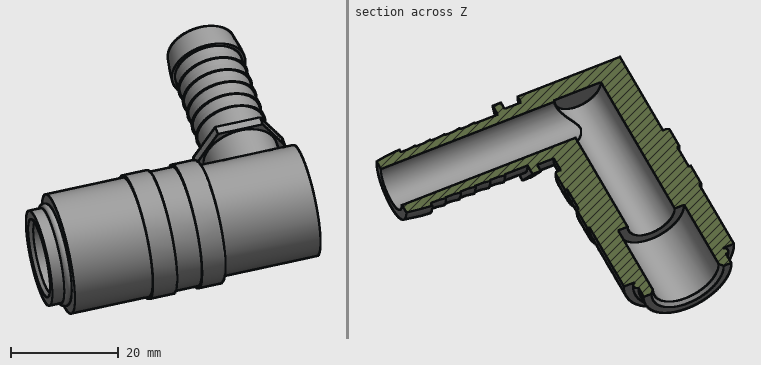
import cadquery as cq
import math

body_radius = 10.55
body_back = 8.55
ring_radius = 11.75
ring_length = 4.65
rear_ring_back = -9.95
front_ring_back = -19.4
ring_round = 0.6
sleeve_radius = 11.35
sleeve_front = -39.0
bead_length = 1.4
nose_radius = 9.05
mouth_front = -42.7

socket_mouth_radius = 7.4
socket_radius = 6.75
socket_taper = 0.8
socket_depth = 15.7
passage_radius = 4.8
passage_back = passage_radius

tail_end = -40.5
tail_radius = 6.5
collar_radius = 7.1
tip_length = 5.05
bore_radius = 4.5
barb_count = 5
barb_length = 1.45
barb_pitch = 3.05
barb_height = 0.2
hex_start = -15.6
hex_thickness = 1.8
hex_across_flats = 14.95


def cylinder_y(radius, back, length):
    """Cylinder about the Y axis, running from back toward -Y."""
    return cq.Workplane("XZ", origin=(0, back, 0)).circle(radius).extrude(length)


def make_ring(back):
    return cylinder_y(ring_radius, back, ring_length)


def make_mouth():
    """Nose with a half-round retaining bead against the sleeve."""
    bead_front = sleeve_front - bead_length
    bead_radius = nose_radius + bead_length / 2
    bead_middle = sleeve_front - bead_length / 2
    return (
        cq.Workplane("XY")
        .moveTo(0, sleeve_front)
        .lineTo(nose_radius, sleeve_front)
        .threePointArc((bead_radius, bead_middle), (nose_radius, bead_front))
        .lineTo(nose_radius, mouth_front)
        .lineTo(0, mouth_front)
        .close()
        .revolve(360, (0, 0, 0), (0, 1, 0))
    )


def make_body():
    body = cylinder_y(body_radius, body_back, body_back - rear_ring_back)
    sleeve = cylinder_y(sleeve_radius, rear_ring_back - ring_length / 2,
                        rear_ring_back - ring_length / 2 - sleeve_front)
    rear_ring = make_ring(rear_ring_back).faces(">Y").fillet(ring_round)
    return body.union(rear_ring).union(sleeve).union(make_ring(front_ring_back)).union(make_mouth())


def make_socket():
    """Tapered lead-in and straight socket, followed by the inner passage."""
    floor = mouth_front + socket_depth
    return (
        cq.Workplane("XY")
        .moveTo(0, mouth_front)
        .lineTo(socket_mouth_radius, mouth_front)
        .lineTo(socket_radius, mouth_front + socket_taper)
        .lineTo(socket_radius, floor)
        .lineTo(passage_radius, floor)
        .lineTo(passage_radius, passage_back)
        .lineTo(0, passage_back)
        .close()
        .revolve(360, (0, 0, 0), (0, 1, 0))
    )


def make_tail():
    """Hose tail with a domed tip and sawtooth barbs, thickening to a collar at the hex."""
    tip_back = tail_end + tip_length
    tip_bulge = (tail_radius + 2 * collar_radius) / 3
    profile = (
        cq.Workplane("XY")
        .moveTo(tail_end, 0)
        .lineTo(tail_end, tail_radius)
        .threePointArc((tail_end + tip_length / 2, tip_bulge), (tip_back, collar_radius))
        .lineTo(tip_back, tail_radius)
    )
    for i in range(barb_count):
        barb_back = tip_back + (i + 1) * barb_pitch
        profile = (
            profile.lineTo(barb_back - barb_length, tail_radius)
            .lineTo(barb_back, tail_radius + barb_height)
            .lineTo(barb_back, tail_radius)
        )
    return (
        profile.lineTo(hex_start, tail_radius)
        .lineTo(hex_start, collar_radius)
        .lineTo(0, collar_radius)
        .lineTo(0, 0)
        .close()
        .revolve(360, (0, 0, 0), (1, 0, 0))
    )


def make_hex():
    """Hexagonal flange with flats at top and bottom and corners along Y."""
    across_corners = hex_across_flats / math.cos(math.pi / 6)
    return (
        cq.Workplane("YZ", origin=(hex_start, 0, 0))
        .polygon(6, across_corners)
        .extrude(hex_thickness)
    )


def make_bore():
    """Hose bore, running in to the axis of the coupling body."""
    return cq.Workplane("YZ", origin=(tail_end, 0, 0)).circle(bore_radius).extrude(-tail_end)


result = (
    make_body()
    .union(make_tail())
    .union(make_hex())
    .cut(make_socket())
    .cut(make_bore())
)